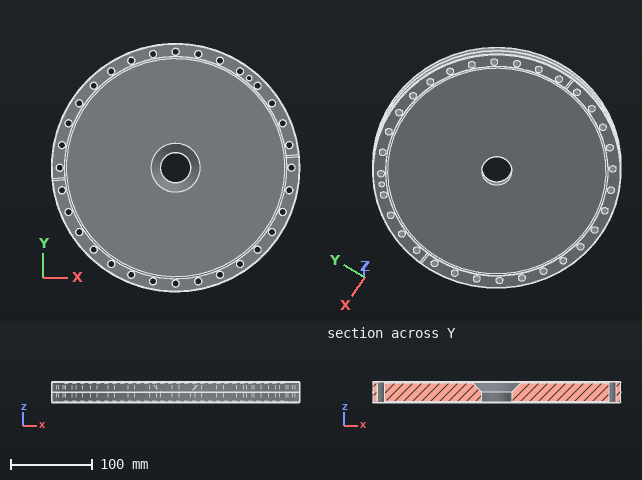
import cadquery as cq
import math

FLANGE_DIAMETER = 304.8
FLANGE_THICKNESS = 26.0
EDGE_CHAMFER = 1.0

RIM_GROOVE_WIDTH = 1.0
RIM_GROOVE_DEPTH = 0.5

RECESS_DIAMETER = 272.6
RECESS_DEPTH = 2.2
KNIFE_DIAMETER = 267.5
CENTRE_FACE_DROP = 1.2

BOLT_COUNT = 32
BOLT_CIRCLE_DIAMETER = 284.0
BOLT_HOLE_DIAMETER = 8.4
BOLT_PITCH = 360.0 / BOLT_COUNT

SMALL_HOLE_DIAMETER = 6.5
SMALL_HOLE_ANGLE = 4.5 * BOLT_PITCH

LEAK_GROOVE_WIDTH = 2.5
LEAK_GROOVE_DEPTH = 0.5
LEAK_GROOVE_ANGLE = 0.5 * BOLT_PITCH

BORE_DIAMETER = 36.7
COUNTERSINK_DIAMETER = 60.0

FLANGE_RADIUS = FLANGE_DIAMETER / 2
RECESS_RADIUS = RECESS_DIAMETER / 2
KNIFE_RADIUS = KNIFE_DIAMETER / 2
BORE_RADIUS = BORE_DIAMETER / 2
COUNTERSINK_RADIUS = COUNTERSINK_DIAMETER / 2
CENTRE_FACE_Z = FLANGE_THICKNESS - CENTRE_FACE_DROP


def make_body():
    """Revolve the half section of the flange around Z."""
    top = FLANGE_THICKNESS
    middle = FLANGE_THICKNESS / 2
    groove_half = RIM_GROOVE_WIDTH / 2
    countersink_depth = COUNTERSINK_RADIUS - BORE_RADIUS
    section = (
        cq.Workplane("XZ")
        .moveTo(BORE_RADIUS, CENTRE_FACE_DROP)
        .lineTo(KNIFE_RADIUS, CENTRE_FACE_DROP)
        .lineTo(RECESS_RADIUS, RECESS_DEPTH)
        .lineTo(RECESS_RADIUS, 0)
        .lineTo(FLANGE_RADIUS - EDGE_CHAMFER, 0)
        .lineTo(FLANGE_RADIUS, EDGE_CHAMFER)
        .lineTo(FLANGE_RADIUS, middle - groove_half)
        .lineTo(FLANGE_RADIUS - RIM_GROOVE_DEPTH, middle)
        .lineTo(FLANGE_RADIUS, middle + groove_half)
        .lineTo(FLANGE_RADIUS, top - EDGE_CHAMFER)
        .lineTo(FLANGE_RADIUS - EDGE_CHAMFER, top)
        .lineTo(RECESS_RADIUS, top)
        .lineTo(RECESS_RADIUS, top - RECESS_DEPTH)
        .lineTo(KNIFE_RADIUS, CENTRE_FACE_Z)
        .lineTo(COUNTERSINK_RADIUS, CENTRE_FACE_Z)
        .lineTo(BORE_RADIUS, CENTRE_FACE_Z - countersink_depth)
        .close()
    )
    return section.revolve(360, (0, 0, 0), (0, 1, 0))


def hole_on_bolt_circle(diameter, angle):
    """Through-hole cutter on the bolt circle at an angle from +X."""
    radius = BOLT_CIRCLE_DIAMETER / 2
    x = radius * math.cos(math.radians(angle))
    y = radius * math.sin(math.radians(angle))
    return cq.Workplane("XY").center(x, y).circle(diameter / 2).extrude(FLANGE_THICKNESS)


def leak_groove(angle, bottom_z):
    """Radial groove cutter across the raised rim, with its underside at bottom_z."""
    length = FLANGE_RADIUS - RECESS_RADIUS
    return (
        cq.Workplane("XY")
        .workplane(offset=bottom_z)
        .center(RECESS_RADIUS + length / 2, 0)
        .rect(length, LEAK_GROOVE_WIDTH)
        .extrude(LEAK_GROOVE_DEPTH)
        .rotate((0, 0, 0), (0, 0, 1), angle)
    )


result = make_body()

for index in range(BOLT_COUNT):
    result = result.cut(hole_on_bolt_circle(BOLT_HOLE_DIAMETER, index * BOLT_PITCH))

result = result.cut(hole_on_bolt_circle(SMALL_HOLE_DIAMETER, SMALL_HOLE_ANGLE))

for side_angle in (0, 180):
    for groove_z in (0, FLANGE_THICKNESS - LEAK_GROOVE_DEPTH):
        result = result.cut(leak_groove(LEAK_GROOVE_ANGLE + side_angle, groove_z))